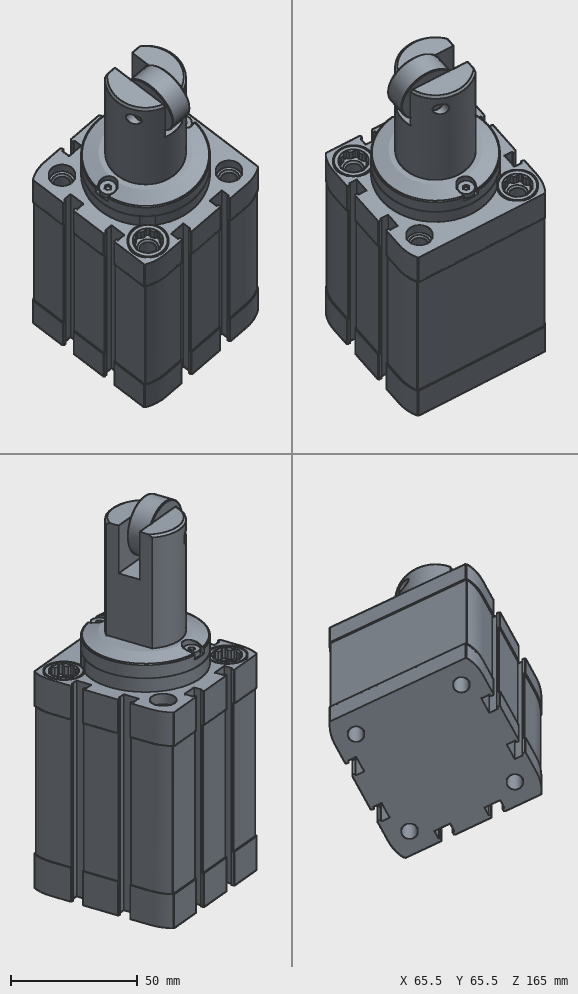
import cadquery as cq
import math

OVERALL_HEIGHT = 165.0
HOUSING_HEIGHT = 95.5
CAP_WIDTH = 65.5
BARREL_WIDTH = 64.5
CAP_HEIGHT = 15.0
CORNER_CHAMFER = 0.3
BARREL_INSET = (CAP_WIDTH - BARREL_WIDTH) / 2
CORNER_TIP_X = 30.2
CORNER_START_Y = 23.3

SLOT_OFFSET = 11.0
SLOT_MOUTH_WIDTH = 5.3
SLOT_WIDTH = 7.0
SLOT_MOUTH_CHAMFER = 0.3
SLOT_DEPTH = 5.1
SLOT_LIP = 1.5

COLLAR_DIAMETER = 51.0
COLLAR_TOP = 101.6
RING_DIAMETER = COLLAR_DIAMETER
RING_RIM_CHAMFER = 0.5
RING_EDGE_Z = 107.9
RING_TOP = 109.9
RING_TOP_DIAMETER = 37.0

HOLE_OFFSET = 23.3
THROUGH_DIAMETER = 6.6
SINK_DIAMETER = 8.2
BORE_DIAMETER = 10.5
BORE_DEPTH = 4.6
SPLINE_DIAMETER = 12.0
SPLINE_COUNT = 8
SPLINE_FLOOR_WIDTH = 1.2
SPLINE_MOUTH_WIDTH = 2.6
SPLINE_MOUTH_RADIUS = 5.1
SPOT_DIAMETER = 16.3
SPOT_GROOVE_WIDTH = 0.5

SCREW_OFFSET = 21.6
SCREW_HEAD_DIAMETER = 7.0
SCREW_HEAD_TOP = 107.7
SCREW_SEAT_Z = 105.3
SCREW_RECESS_DIAMETER = 8.0
SCREW_MOUTH_WIDTH = 6.6
SCREW_SHANK_DIAMETER = 4.0
SCREW_SHANK_LENGTH = 8.2
SCREW_SOCKET_FLATS = 2.5
SCREW_SOCKET_DEPTH = 1.3

ROD_DIAMETER = 32.0
ROD_BOTTOM = HOUSING_HEIGHT
ROD_TOP = 159.9
ROD_CHAMFER = 1.0
ROD_FLAT_X = -11.9
FORK_WIDTH = 9.9
FORK_BOTTOM = 138.8

ROLLER_DIAMETER = 25.0
ROLLER_X = 7.0
ROLLER_Z = OVERALL_HEIGHT - ROLLER_DIAMETER / 2
ROLLER_CHAMFER = 0.3
AXLE_DIAMETER = 6.0
AXLE_LENGTH = 23.1


def cylinder(diameter, z_bottom, z_top, x=0, y=0):
    """Upright cylinder between two heights."""
    return cq.Workplane("XY", origin=(x, y, z_bottom)).circle(diameter / 2).extrude(z_top - z_bottom)


def box(x_min, x_max, y_min, y_max, z_min, z_max):
    """Axis-aligned block between its limits."""
    return cq.Workplane("XY").box(x_max - x_min, y_max - y_min, z_max - z_min, centered=False).translate(
        (x_min, y_min, z_min)
    )


def cone(bottom_diameter, top_diameter, z_bottom, z_top, x=0, y=0):
    """Upright truncated cone between two heights."""
    solid = cq.Solid.makeCone(bottom_diameter / 2, top_diameter / 2, z_top - z_bottom)
    return cq.Workplane(solid).translate((x, y, z_bottom))


def profile_prism(inset, z_bottom, z_top):
    """Square prism whose corners are arcs tangent to the side faces."""
    half = CAP_WIDTH / 2 - inset
    tip = CORNER_TIP_X
    start = CORNER_START_Y
    drop = half - tip
    rise = half - start
    radius = (drop**2 + rise**2) / (2 * drop)
    half_angle = math.asin(rise / radius) / 2
    mid_x = half - radius * (1 - math.cos(half_angle))
    mid_y = start + radius * math.sin(half_angle)
    return (
        cq.Workplane("XY", origin=(0, 0, z_bottom))
        .moveTo(half, -start)
        .lineTo(half, start)
        .threePointArc((mid_x, mid_y), (tip, half))
        .lineTo(-tip, half)
        .threePointArc((-mid_x, mid_y), (-half, start))
        .lineTo(-half, -start)
        .threePointArc((-mid_x, -mid_y), (-tip, -half))
        .lineTo(tip, -half)
        .threePointArc((mid_x, -mid_y), (half, -start))
        .close()
        .extrude(z_top - z_bottom)
    )


def slot_pair(inset, z_bottom, z_top):
    """Two T-slots with chamfered mouths, cut into the -Y face of one housing section."""
    face = -CAP_WIDTH / 2
    section_face = face + inset
    mouth = SLOT_MOUTH_WIDTH / 2
    wide = SLOT_WIDTH / 2
    half_outline = [
        (mouth + SLOT_MOUTH_CHAMFER, section_face),
        (mouth, section_face + SLOT_MOUTH_CHAMFER),
        (mouth, face + SLOT_LIP),
        (wide, face + SLOT_LIP),
        (wide, face + SLOT_DEPTH),
    ]
    outline = half_outline + [(-x, y) for x, y in reversed(half_outline)]
    slot = cq.Workplane("XY", origin=(0, 0, z_bottom)).polyline(outline).close().extrude(z_top - z_bottom)
    return slot.translate((-SLOT_OFFSET, 0, 0)).union(slot.translate((SLOT_OFFSET, 0, 0)))


def housing_section(inset, z_bottom, z_top):
    """One length of the housing, slotted on three sides."""
    section = profile_prism(inset, z_bottom, z_top)
    section = section.faces("<Y or >Y").edges("|Z").chamfer(CORNER_CHAMFER)
    for angle in (0, 90, -90):
        section = section.cut(slot_pair(inset, z_bottom, z_top).rotate((0, 0, 0), (0, 0, 1), angle))
    return section


def corner_hole(x, y):
    """Through hole with a countersink at the floor of a wider bore."""
    floor = HOUSING_HEIGHT - BORE_DEPTH
    sink_depth = (SINK_DIAMETER - THROUGH_DIAMETER) / 2
    hole = cylinder(THROUGH_DIAMETER, 0, HOUSING_HEIGHT, x, y)
    hole = hole.union(cone(THROUGH_DIAMETER, SINK_DIAMETER, floor - sink_depth, floor, x, y))
    return hole.union(cylinder(BORE_DIAMETER, floor, HOUSING_HEIGHT, x, y))


def spline_notch():
    """Trapezoidal notch on the +X side of a bore about the Z axis, narrowest at its floor."""
    floor_x = SPLINE_DIAMETER / 2
    floor_y = SPLINE_FLOOR_WIDTH / 2
    mouth_y = SPLINE_MOUTH_WIDTH / 2
    return (
        cq.Workplane("XY", origin=(0, 0, HOUSING_HEIGHT - BORE_DEPTH))
        .polyline(
            [
                (0, -mouth_y),
                (SPLINE_MOUTH_RADIUS, -mouth_y),
                (floor_x, -floor_y),
                (floor_x, floor_y),
                (SPLINE_MOUTH_RADIUS, mouth_y),
                (0, mouth_y),
            ]
        )
        .close()
        .extrude(BORE_DEPTH)
    )


def splined_mouth(x, y):
    """Countersunk, notched mouth of a corner hole inside a V-groove, cleared through the collar."""
    spot_radius = SPOT_DIAMETER / 2
    clearance = cylinder(SPOT_DIAMETER, HOUSING_HEIGHT, COLLAR_TOP, x, y)
    groove = (
        cq.Workplane("XZ")
        .polyline(
            [
                (spot_radius - SPOT_GROOVE_WIDTH, HOUSING_HEIGHT),
                (spot_radius, HOUSING_HEIGHT),
                (spot_radius, HOUSING_HEIGHT - SPOT_GROOVE_WIDTH),
            ]
        )
        .close()
        .revolve(360, (0, 0, 0), (0, 1, 0))
        .translate((x, y, 0))
    )
    sink_depth = (SPLINE_DIAMETER - BORE_DIAMETER) / 2
    sink = cone(BORE_DIAMETER, SPLINE_DIAMETER, HOUSING_HEIGHT - sink_depth, HOUSING_HEIGHT, x, y)
    tool = clearance.union(groove).union(sink)
    notch = spline_notch()
    for i in range(SPLINE_COUNT):
        tool = tool.union(notch.rotate((0, 0, 0), (0, 0, 1), i * 360 / SPLINE_COUNT).translate((x, y, 0)))
    return tool


def make_housing():
    """Barrel between two slightly wider caps, with the collar and the corner holes."""
    barrel_top = HOUSING_HEIGHT - CAP_HEIGHT
    housing = housing_section(0, 0, CAP_HEIGHT)
    housing = housing.union(housing_section(BARREL_INSET, CAP_HEIGHT, barrel_top))
    housing = housing.union(housing_section(0, barrel_top, HOUSING_HEIGHT))
    housing = housing.union(cylinder(COLLAR_DIAMETER, HOUSING_HEIGHT, COLLAR_TOP))
    for x in (-HOLE_OFFSET, HOLE_OFFSET):
        for y in (-HOLE_OFFSET, HOLE_OFFSET):
            housing = housing.cut(corner_hole(x, y))
    for x, y in ((-HOLE_OFFSET, HOLE_OFFSET), (HOLE_OFFSET, -HOLE_OFFSET)):
        housing = housing.cut(splined_mouth(x, y))
    return housing


def make_ring():
    """Guide ring with a chamfered rim and a conical top."""
    ring = cylinder(RING_DIAMETER, COLLAR_TOP, RING_EDGE_Z).faces(">Z").chamfer(RING_RIM_CHAMFER)
    rim_diameter = RING_DIAMETER - 2 * RING_RIM_CHAMFER
    return ring.union(cone(rim_diameter, RING_TOP_DIAMETER, RING_EDGE_Z, RING_TOP))


def screw_recess():
    """Recess for the -Y screw head, open to the outside, with the shank hole."""
    half = SCREW_MOUTH_WIDTH / 2
    recess = cylinder(SCREW_RECESS_DIAMETER, SCREW_SEAT_Z, RING_TOP, 0, -SCREW_OFFSET)
    recess = recess.union(box(-half, half, -COLLAR_DIAMETER / 2, -SCREW_OFFSET, SCREW_SEAT_Z, RING_TOP))
    shank_bottom = SCREW_SEAT_Z - SCREW_SHANK_LENGTH
    return recess.union(cylinder(SCREW_SHANK_DIAMETER, shank_bottom, SCREW_SEAT_Z, 0, -SCREW_OFFSET))


def make_screw():
    """The -Y screw: a cylindrical head with a hexagon socket, and its shank."""
    y = -SCREW_OFFSET
    screw = cylinder(SCREW_HEAD_DIAMETER, SCREW_SEAT_Z, SCREW_HEAD_TOP, 0, y)
    screw = screw.union(
        cylinder(SCREW_SHANK_DIAMETER, SCREW_SEAT_Z - SCREW_SHANK_LENGTH, SCREW_SEAT_Z, 0, y)
    )
    socket = (
        cq.Workplane("XY", origin=(0, y, SCREW_HEAD_TOP - SCREW_SOCKET_DEPTH))
        .polygon(6, SCREW_SOCKET_FLATS, circumscribed=True)
        .extrude(SCREW_SOCKET_DEPTH)
        .rotate((0, y, 0), (0, y, 1), 30)
    )
    return screw.cut(socket)


def cross_cylinder(diameter, length):
    """Cylinder along Y on the roller axis, centred on the fork."""
    return (
        cq.Workplane("XZ", origin=(ROLLER_X, length / 2, ROLLER_Z)).circle(diameter / 2).extrude(length)
    )


def make_rod():
    """Round rod with a flat on its -X side and a fork slot for the roller."""
    radius = ROD_DIAMETER / 2
    rod = cylinder(ROD_DIAMETER, ROD_BOTTOM, ROD_TOP).faces(">Z").chamfer(ROD_CHAMFER)
    rod = rod.cut(box(-radius, ROD_FLAT_X, -radius, radius, ROD_BOTTOM, ROD_TOP))
    return rod.cut(box(-radius, radius, -FORK_WIDTH / 2, FORK_WIDTH / 2, FORK_BOTTOM, ROD_TOP))


def make_roller():
    """Roller with an axle whose flat ends sit just inside the rod."""
    roller = cross_cylinder(ROLLER_DIAMETER, FORK_WIDTH).faces("<Y or >Y").chamfer(ROLLER_CHAMFER)
    return roller.union(cross_cylinder(AXLE_DIAMETER, AXLE_LENGTH))


rod = make_rod()
housing = make_housing().cut(rod)
ring = make_ring().cut(rod)
roller = make_roller()
rod = rod.cut(cross_cylinder(AXLE_DIAMETER, ROD_DIAMETER))
screws = []
for angle in (0, 180):
    recess = screw_recess().rotate((0, 0, 0), (0, 0, 1), angle)
    ring = ring.cut(recess)
    housing = housing.cut(recess)
    screws.append(make_screw().rotate((0, 0, 0), (0, 0, 1), angle))

result = cq.Compound.makeCompound(
    [housing.val(), ring.val(), rod.val(), roller.val(), *[screw.val() for screw in screws]]
)